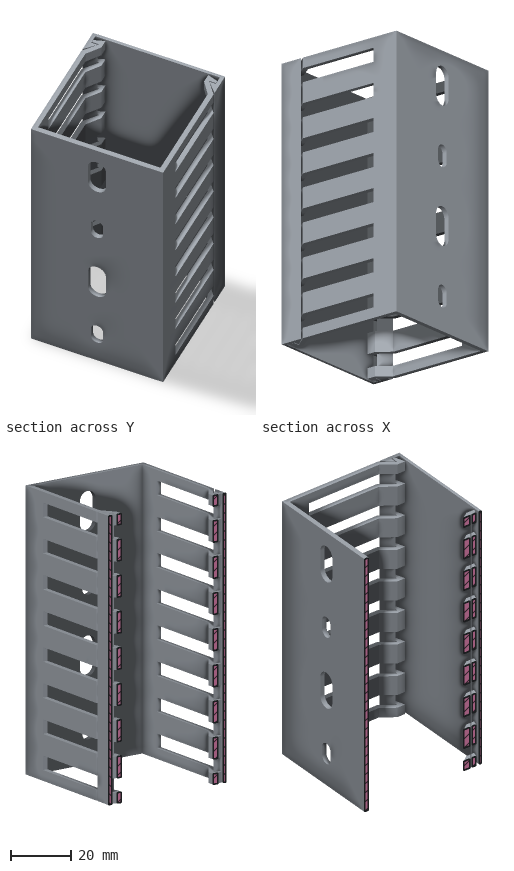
import cadquery as cq

width = 48.5
depth = 49.3
length = 100.0
half_width = width / 2

base_wall = 1.8

bend_outer_drop = 9.2
bend_inner_drop = 9.9
hook_inner_inset = 5.4
hook_inner_drop = 5.0
hook_top_drop = 1.7
hook_throat_inset = 4.1
hook_barb_inset = 1.5
hook_barb_top_drop = 3.0
hook_barb_under_drop = 4.0

lid_top = 1.1
lid_skirt = 1.4
lid_skirt_drop = 8.4
catch_tip_inset = 3.7
catch_tip_drop = 4.4

slot_count = 8
slot_pitch = length / slot_count
slot_height = 5.0
slot_floor = 9.9

hole_count = 4
hole_pitch = length / hole_count
large_hole_length = 14.0
large_hole_width = 6.5
small_hole_length = 8.0
small_hole_width = 4.5


def symmetric_profile(left_points):
    """Extrude the outline made of the left-hand points and their mirror images.

    Each point is (inset, drop); the list runs from the outer surface round to the inner one.
    """
    left = [(inset - half_width, depth - drop) for inset, drop in left_points]
    right = [(-x, y) for x, y in reversed(left)]
    return cq.Workplane("XY").polyline(left + right).close().extrude(length)


def base_channel():
    """Channel whose side walls bend inwards and end in barbed hooks."""
    return symmetric_profile([
        (0, depth),
        (0, bend_outer_drop),
        (hook_throat_inset, hook_barb_under_drop),
        (hook_barb_inset, hook_barb_under_drop),
        (hook_barb_inset, hook_barb_top_drop),
        (hook_inner_inset, hook_top_drop),
        (hook_inner_inset, hook_inner_drop),
        (base_wall, bend_inner_drop),
        (base_wall, depth - base_wall),
    ])


def wiring_slot(height):
    """Cutter that crosses both side walls and parts their hooks, centred at the given height."""
    slot = cq.Workplane("XY").box(width, depth - slot_floor, slot_height, centered=(True, False, True))
    return slot.translate((0, slot_floor, height))


def mounting_hole(hole_length, hole_width, height):
    """Obround cutter through the back wall, long along Z and centred at the given height."""
    return (
        cq.Workplane("XZ")
        .center(0, height)
        .slot2D(hole_length, hole_width, 90)
        .extrude(-base_wall)
    )


def make_base():
    """Hooked channel with slotted side walls and a row of mounting holes in its back wall."""
    base = base_channel()
    for index in range(slot_count):
        base = base.cut(wiring_slot((index + 0.5) * slot_pitch))
    for index in range(hole_count):
        height = (index + 0.5) * hole_pitch
        is_small = index % 2 == 0
        hole_length = small_hole_length if is_small else large_hole_length
        hole_width = small_hole_width if is_small else large_hole_width
        base = base.cut(mounting_hole(hole_length, hole_width, height))
    return base


def make_lid():
    """Flat cover with two skirts, each carrying a wedge-shaped catch under the hooks."""
    return symmetric_profile([
        (0, 0),
        (0, lid_skirt_drop),
        (catch_tip_inset, catch_tip_drop),
        (lid_skirt, catch_tip_drop),
        (lid_skirt, lid_top),
    ])


base = make_base()
lid = make_lid()

result = cq.Compound.makeCompound([base.val(), lid.val()])